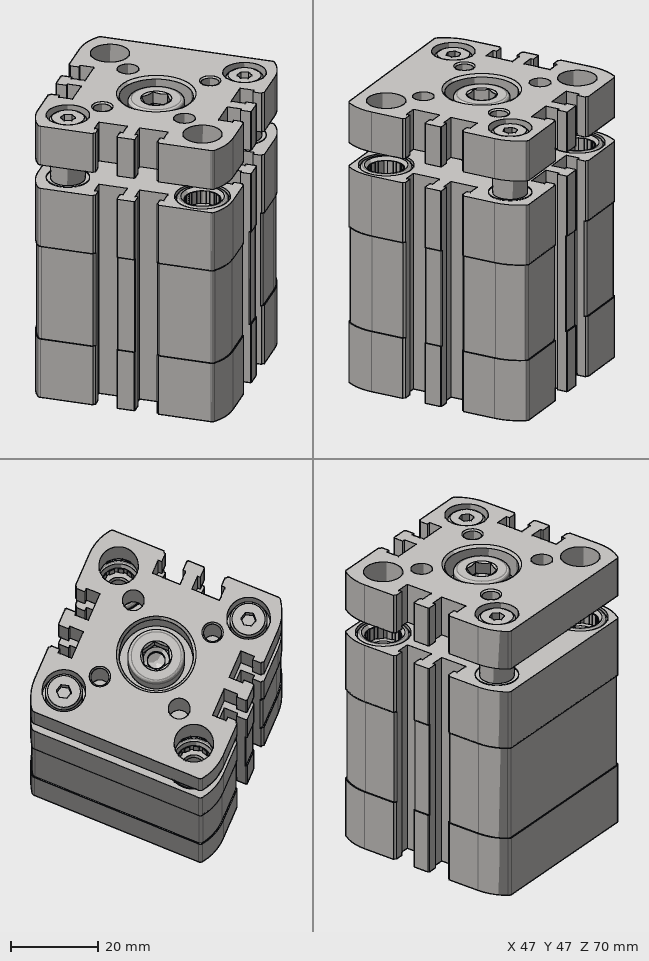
import cadquery as cq
import math

side = 47.0
total_height = 70.0
plate_thickness = 10.0
gap_height = 6.0
plate_bottom = total_height - plate_thickness
housing_height = plate_bottom - gap_height
end_band_height = 15.05
middle_inset = 0.3

corner_radius = 12.0
corner_start = 16.1
corner_edge_fillet = 1.0

slot_depth = 5.95
lip_depth = 2.6
slot_half_width = 8.3
mouth_half_width = 7.4
rib_neck_half_width = 1.5
rib_head_half_width = 2.2
lip_fillet = 0.5
rib_fillet = 0.2

guide_offset = 16.2
small_hole_offset = 9.9
RODS = [(guide_offset, guide_offset), (-guide_offset, -guide_offset)]
CAPS = [(-guide_offset, guide_offset), (guide_offset, -guide_offset)]
THREADS = [(small_hole_offset, small_hole_offset), (-small_hole_offset, -small_hole_offset)]
DOWELS = [(-small_hole_offset, small_hole_offset), (small_hole_offset, -small_hole_offset)]

access_hole_diameter = 9.0
dowel_diameter = 5.0
thread_diameter = 4.1
thread_mouth_diameter = 4.9
center_bore_diameter = 17.0
center_bore_chamfer = 0.6
center_bore_depth = 6.0
counterbore_diameter = 10.0
counterbore_depth = 5.0

guide_rod_diameter = 8.0
piston_rod_diameter = 12.0
flat_width = 10.0
flat_bottom = 55.4
flat_runout_angle = 30.0

center_head_diameter = 13.0
center_head_top = 68.8
center_head_fillet = 0.8
center_hex_corners = 6.9
center_hex_mouth = 7.15
center_hex_depth = 3.0
center_drill_diameter = 4.1
center_drill_depth = 1.0
cone_slope = math.tan(math.radians(30.0))

guide_head_diameter = 8.55
guide_head_chamfer = 0.5
guide_head_top = 69.3
guide_hex_corners = 3.5
guide_hex_depth = 2.0
guide_hex_turn = 15.0

rod_recess_diameter = 10.0
rod_recess_depth = 0.2
cap_recess_diameter = 12.8
cap_recess_depth = 1.0
cap_head_diameter = 11.9
cap_head_fillet = 0.5
cap_mouth_diameter = 10.0
socket_diameter = 8.5
socket_depth = 4.0
serration_count = 12
serration_depth = 0.2
serration_width = 0.85
through_hole_diameter = 4.9
through_hole_mouth = 5.9


def disc(diameter, bottom, top, places=((0, 0),)):
    """Upright cylinders between two heights."""
    base = cq.Workplane("XY").workplane(offset=bottom).pushPoints(places)
    return base.circle(diameter / 2).extrude(top - bottom)


def cone(bottom_diameter, top_diameter, bottom, top, place=(0, 0)):
    """One upright cone, pointed or truncated, between two heights."""
    solid = cq.Solid.makeCone(
        bottom_diameter / 2, top_diameter / 2, top - bottom, cq.Vector(*place, bottom)
    )
    return cq.Workplane(obj=solid)


def outline_block(half, bottom, top):
    """Block whose X sides curve into large arcs at the corners, trimmed to a square of this half width."""
    arc_center = half - corner_radius
    rise = side / 2 - corner_start
    reach = arc_center + math.sqrt(corner_radius**2 - rise**2)
    mid_angle = math.asin(rise / corner_radius) / 2
    mid_x = arc_center + corner_radius * math.cos(mid_angle)
    mid_y = corner_start + corner_radius * math.sin(mid_angle)
    end_y = side / 2
    block = (
        cq.Workplane("XY").workplane(offset=bottom)
        .moveTo(half, -corner_start)
        .lineTo(half, corner_start)
        .threePointArc((mid_x, mid_y), (reach, end_y))
        .lineTo(-reach, end_y)
        .threePointArc((-mid_x, mid_y), (-half, corner_start))
        .lineTo(-half, -corner_start)
        .threePointArc((-mid_x, -mid_y), (-reach, -end_y))
        .lineTo(reach, -end_y)
        .threePointArc((mid_x, -mid_y), (half, -corner_start))
        .close().extrude(top - bottom)
    )
    trim = cq.Workplane("XY").workplane(offset=bottom).rect(2 * half, 2 * half).extrude(top - bottom)
    return block.intersect(trim).edges("|Z").edges(">Y or <Y").fillet(corner_edge_fillet)


def t_slot_pair(half, bottom, top):
    """Cutter for the two slots of the -Y side, with rounded lips where they open."""
    face = -half
    shoulder = lip_depth - side / 2
    floor = slot_depth - side / 2
    slot = (
        cq.Workplane("XY").workplane(offset=bottom)
        .moveTo(mouth_half_width + lip_fillet, face)
        .radiusArc((mouth_half_width, face + lip_fillet), -lip_fillet)
        .lineTo(mouth_half_width, shoulder)
        .lineTo(slot_half_width, shoulder)
        .lineTo(slot_half_width, floor)
        .lineTo(rib_neck_half_width, floor)
        .lineTo(rib_neck_half_width, shoulder)
        .lineTo(rib_head_half_width, shoulder)
        .lineTo(rib_head_half_width, face + rib_fillet)
        .radiusArc((rib_head_half_width - rib_fillet, face), -rib_fillet)
        .close().extrude(top - bottom)
    )
    return slot.union(slot.mirror("YZ"))


def profile_section(inset, bottom, top):
    """Length of the slotted profile; the +Y side stays plain."""
    half = side / 2 - inset
    section = outline_block(half, bottom, top)
    for turn in (-90, 0, 90):
        section = section.cut(t_slot_pair(half, bottom, top).rotate((0, 0, 0), (0, 0, 1), turn))
    return section


def hex_socket(corners, bottom, top, place=(0, 0), turn=0.0):
    """Hexagonal prism that is cut from a screw head."""
    x, y = place
    prism = cq.Workplane("XY").workplane(offset=bottom).polygon(6, corners).extrude(top - bottom)
    return prism.rotate((0, 0, 0), (0, 0, 1), turn).translate((x, y, 0))


def center_screw():
    """Round-edged socket screw head in the middle of the plate, and the drilled hole below its socket."""
    floor = total_height - center_bore_depth
    hex_bottom = center_head_top - center_hex_depth
    flats = center_hex_corners * math.cos(math.pi / 6)
    drill_top = hex_bottom - (flats - center_drill_diameter) / 2 * cone_slope
    drill_bottom = drill_top - center_drill_depth
    tip = drill_bottom - center_drill_diameter / 2 * cone_slope
    mouth_depth = (center_hex_mouth - flats) / 2 * cone_slope

    head = disc(center_head_diameter, floor, center_head_top).faces(">Z").edges().fillet(center_head_fillet)
    head = head.cut(hex_socket(center_hex_corners, hex_bottom, center_head_top))
    head = head.cut(cone(flats, center_hex_mouth, center_head_top - mouth_depth, center_head_top))
    drill = cone(center_drill_diameter, flats, drill_top, hex_bottom)
    drill = drill.union(disc(center_drill_diameter, drill_bottom, drill_top))
    drill = drill.union(cone(0, center_drill_diameter, tip, drill_bottom))
    return head, drill


def guide_screw(place):
    """Socket screw head that ends one guide rod, sunk in the plate."""
    floor = total_height - counterbore_depth
    head = disc(guide_head_diameter, floor, guide_head_top, [place])
    head = head.faces(">Z").edges().chamfer(guide_head_chamfer)
    hex_bottom = guide_head_top - guide_hex_depth
    return head.cut(hex_socket(guide_hex_corners, hex_bottom, guide_head_top, place, guide_hex_turn))


def piston_rod():
    """Piston rod with two wrench flats that run out in sloping faces."""
    rod = disc(piston_rod_diameter, housing_height, plate_bottom)
    half_flat = flat_width / 2
    reach = piston_rod_diameter
    drop = (reach - half_flat) * math.tan(math.radians(flat_runout_angle))
    flat = (
        cq.Workplane("YZ")
        .polyline([
            (half_flat, plate_bottom),
            (half_flat, flat_bottom),
            (reach, flat_bottom - drop),
            (reach, plate_bottom),
        ])
        .close().extrude(piston_rod_diameter / 2, both=True)
    )
    return rod.cut(flat).cut(flat.mirror("XZ"))


def make_yoke():
    """Moving unit: plate, piston rod, guide rods and their screws."""
    yoke = profile_section(0, plate_bottom, total_height)
    yoke = yoke.cut(disc(access_hole_diameter, plate_bottom, total_height, CAPS))
    yoke = yoke.cut(disc(dowel_diameter, plate_bottom, total_height, DOWELS))
    yoke = yoke.cut(disc(thread_diameter, plate_bottom, total_height, THREADS))
    mouth_bottom = total_height - (thread_mouth_diameter - thread_diameter) / 2
    for place in THREADS:
        mouth = cone(thread_diameter, thread_mouth_diameter, mouth_bottom, total_height, place)
        yoke = yoke.cut(mouth)

    yoke = yoke.cut(disc(center_bore_diameter, total_height - center_bore_depth, total_height))
    rim_diameter = center_bore_diameter + 2 * center_bore_chamfer
    rim_bottom = total_height - center_bore_chamfer
    yoke = yoke.cut(cone(center_bore_diameter, rim_diameter, rim_bottom, total_height))
    head, drill = center_screw()
    yoke = yoke.union(head).cut(drill)

    yoke = yoke.cut(disc(counterbore_diameter, total_height - counterbore_depth, total_height, RODS))
    for place in RODS:
        yoke = yoke.union(guide_screw(place))

    yoke = yoke.union(piston_rod())
    rod_bottom = housing_height - rod_recess_depth
    return yoke.union(disc(guide_rod_diameter, rod_bottom, plate_bottom, RODS))


def cut_cap(housing, place):
    """Hollow cap of one guide bore: ring groove, serrated socket and through hole."""
    top = housing_height
    groove = disc(cap_recess_diameter, top - cap_recess_depth, top, [place])
    cap = disc(cap_head_diameter, top - cap_recess_depth, top, [place])
    cap = cap.faces(">Z").edges().fillet(cap_head_fillet)
    housing = housing.cut(groove.cut(cap))

    bore_diameter = socket_diameter - 2 * serration_depth
    mouth_depth = (cap_mouth_diameter - socket_diameter) / 2
    floor = top - socket_depth
    housing = housing.cut(cone(socket_diameter, cap_mouth_diameter, top - mouth_depth, top, place))
    teeth_gaps = (
        cq.Workplane("XY").workplane(offset=floor).center(*place)
        .polarArray(bore_diameter / 2, 0, 360, serration_count)
        .rect(2 * serration_depth, serration_width).extrude(socket_depth)
    )
    housing = housing.cut(disc(bore_diameter, floor, top, [place]).union(teeth_gaps))

    housing = housing.cut(disc(through_hole_diameter, 0, floor, [place]))
    chamfer_depth = (through_hole_mouth - through_hole_diameter) / 2
    return housing.cut(cone(through_hole_diameter, through_hole_mouth, floor - chamfer_depth, floor, place))


def make_housing():
    """Cylinder housing: slotted profile with a slightly smaller middle length."""
    middle_top = housing_height - end_band_height
    housing = profile_section(0, 0, end_band_height)
    housing = housing.union(profile_section(middle_inset, end_band_height, middle_top))
    housing = housing.union(profile_section(0, middle_top, housing_height))
    recess_floor = housing_height - rod_recess_depth
    housing = housing.cut(disc(rod_recess_diameter, recess_floor, housing_height, RODS))
    for place in CAPS:
        housing = cut_cap(housing, place)
    return housing


yoke = make_yoke()
housing = make_housing()
result = cq.Compound.makeCompound([yoke.val(), housing.val()])